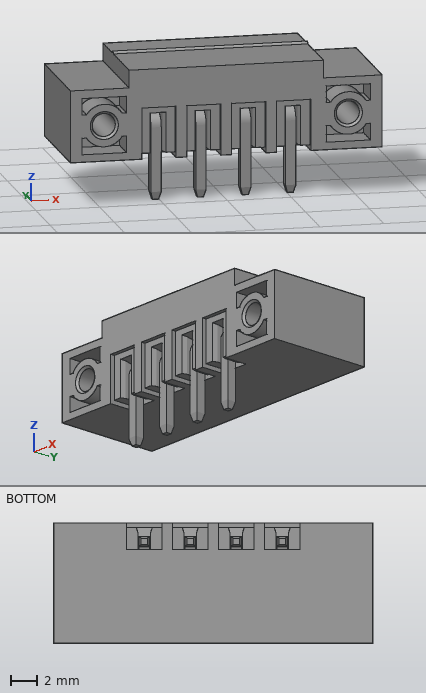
import cadquery as cq


length = 24.4
depth = 9.2
wing_height = 5.65
center_length = 15.23
center_height = 7.05

ridge_width = 0.46
ridge_height = 0.17
ridge_y = depth - 3.46

screw_spacing = 19.1
screw_z = 2.8
screw_diameter = 1.8
screw_chamfer = 0.2
boss_diameter = 3.35
pocket_width = 3.46
pocket_height = 4.42
pocket_depth = 2.45
web_height = 1.83

pin_count = 4
pin_pitch = 3.51
recess_width = 2.68
recess_top = 4.03
recess_depth = 0.37

pin_width = 0.8
pin_thickness = 0.78
pin_front = 1.02
pin_top = 3.2
pin_bottom = -3.5
pin_outer_bend = 1.0
pin_arm_end = 4.88
tip_length = 0.6
tip_width = 0.46

channel_back = pin_front + pin_outer_bend
mouth_width = 1.22
mouth_top = 3.51
flare_depth = 0.41
channel_width = 0.95
undercut_height = 0.37

pin_positions = [(i - (pin_count - 1) / 2) * pin_pitch for i in range(pin_count)]
screw_positions = [-screw_spacing / 2, screw_spacing / 2]


def block(x, width, y_start, y_end, z_start, z_end):
    """Box centred on x and spanning the given Y and Z ranges."""
    return cq.Workplane("XY").box(
        width, y_end - y_start, z_end - z_start, centered=(True, False, False)
    ).translate((x, y_start, z_start))


def front_cylinder(x, diameter, cylinder_length):
    """Cylinder on a screw axis, running back from the front face."""
    return cq.Workplane("XZ", origin=(x, 0, screw_z)).circle(diameter / 2).extrude(-cylinder_length)


def ridge():
    half_width = ridge_width / 2
    return (
        cq.Workplane("YZ", origin=(-center_length / 2, ridge_y, center_height))
        .moveTo(-half_width, 0)
        .threePointArc((0, ridge_height), (half_width, 0))
        .close()
        .extrude(center_length)
    )


def boss_pockets(x):
    """Pockets above and below the screw boss, parted by a level web."""
    pocket = block(
        x, pocket_width, 0, pocket_depth, screw_z - pocket_height / 2, screw_z + pocket_height / 2
    )
    web = block(x, pocket_width, 0, pocket_depth, screw_z - web_height / 2, screw_z + web_height / 2)
    return pocket.cut(web).cut(front_cylinder(x, boss_diameter, pocket_depth))


def screw_hole(x):
    """Through hole with a countersunk front edge."""
    mouth_radius = screw_diameter / 2 + screw_chamfer
    countersink = cq.Solid.makeCone(
        mouth_radius, screw_diameter / 2, screw_chamfer, cq.Vector(x, 0, screw_z), cq.Vector(0, 1, 0)
    )
    return front_cylinder(x, screw_diameter, depth).union(cq.Workplane(countersink))


def channel(x):
    """Channel with flared sides at its mouth and a ceiling that slopes down to the pin's top."""
    flare_end = recess_depth + flare_depth
    half_mouth = mouth_width / 2
    half_channel = channel_width / 2
    plan = (
        cq.Workplane("XY", origin=(x, 0, 0))
        .moveTo(-half_mouth, recess_depth)
        .lineTo(half_mouth, recess_depth)
        .lineTo(half_channel, flare_end)
        .lineTo(half_channel, channel_back)
        .lineTo(-half_channel, channel_back)
        .lineTo(-half_channel, flare_end)
        .close()
        .extrude(mouth_top)
    )
    side_profile = (
        cq.Workplane("YZ", origin=(x - half_mouth, 0, 0))
        .moveTo(recess_depth, 0)
        .lineTo(recess_depth, mouth_top)
        .lineTo(channel_back, pin_top)
        .lineTo(channel_back, 0)
        .close()
        .extrude(mouth_width)
    )
    return plan.intersect(side_profile)


def pin_clearance(x):
    recess = block(x, recess_width, 0, recess_depth, 0, recess_top)
    undercut = block(x, recess_width, 0, channel_back, 0, undercut_height)
    return recess.union(channel(x)).union(undercut)


def pin(x):
    """Right-angle pin with a rounded bend and a tapered square tip."""
    inner_bend = pin_outer_bend - pin_thickness
    leg_bottom = pin_bottom + tip_length
    bend_z = pin_top - pin_outer_bend
    body = (
        cq.Workplane("YZ", origin=(x - pin_width / 2, 0, 0))
        .moveTo(pin_front, leg_bottom)
        .lineTo(pin_front, bend_z)
        .radiusArc((channel_back, pin_top), pin_outer_bend)
        .lineTo(pin_arm_end, pin_top)
        .lineTo(pin_arm_end, pin_top - pin_thickness)
        .lineTo(channel_back, pin_top - pin_thickness)
        .radiusArc((pin_front + pin_thickness, bend_z), -inner_bend)
        .lineTo(pin_front + pin_thickness, leg_bottom)
        .close()
        .extrude(pin_width)
    )
    tip = (
        cq.Workplane("XY", origin=(x, pin_front + pin_thickness / 2, leg_bottom))
        .rect(pin_width, pin_thickness)
        .workplane(offset=-tip_length)
        .rect(tip_width, tip_width)
        .loft(ruled=True)
    )
    return body.union(tip)


result = block(0, length, 0, depth, 0, wing_height)
result = result.union(block(0, center_length, 0, depth, 0, center_height)).union(ridge())

for screw_x in screw_positions:
    result = result.cut(boss_pockets(screw_x)).cut(screw_hole(screw_x))

for pin_x in pin_positions:
    result = result.cut(pin_clearance(pin_x)).union(pin(pin_x))